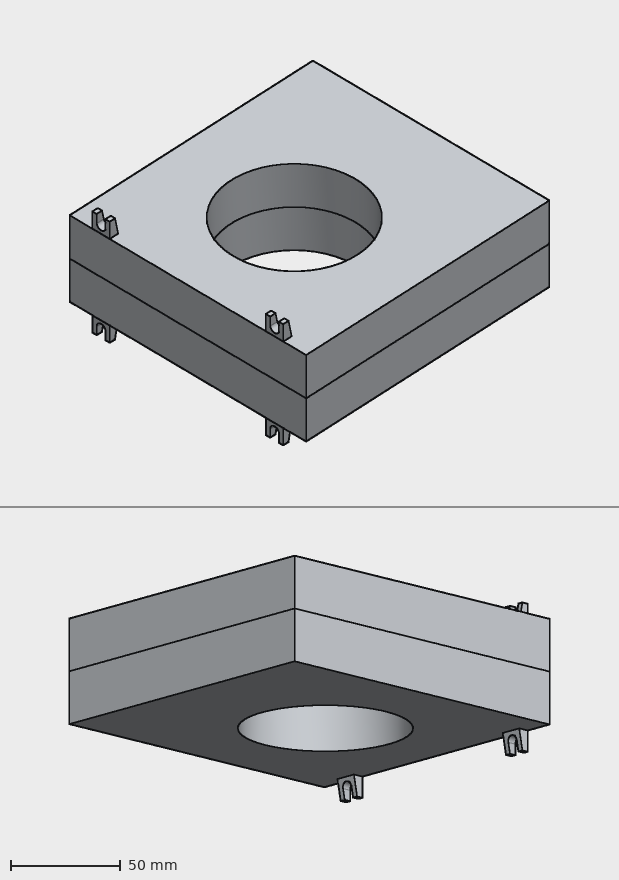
import cadquery as cq

housing_width = 150.0
housing_depth = 160.0
half_height = 25.0
bore_diameter = 80.0
bore_center_y = 70.0

lug_height = 10.0
lug_width = 11.0
lug_root_thickness = 5.5
lug_tip_thickness = 3.5
lug_spacing = 110.0
slot_width = 5.5
slot_depth = 8.0


def housing_half(bottom_z):
    """Rectangular block with the vertical bore, standing on bottom_z."""
    block = cq.Workplane("XY").box(
        housing_width, housing_depth, half_height, centered=(True, False, False)
    )
    bore = cq.Workplane("XY").center(0, bore_center_y).circle(bore_diameter / 2).extrude(half_height)
    return block.cut(bore).translate((0, 0, bottom_z))


def upper_lug(center_x):
    """Lug on the upper face, tapering at the back, with a round-bottomed slot open at its tip."""
    tapered_plate = (
        cq.Workplane("YZ")
        .polyline([(0, 0), (lug_root_thickness, 0), (lug_tip_thickness, lug_height), (0, lug_height)])
        .close()
        .extrude(lug_width / 2, both=True)
    )
    slot_radius = slot_width / 2
    slot_floor_z = lug_height - slot_depth
    slot_arc_center_z = slot_floor_z + slot_radius
    slot = (
        cq.Workplane("XZ")
        .moveTo(-slot_radius, lug_height)
        .lineTo(-slot_radius, slot_arc_center_z)
        .threePointArc((0, slot_floor_z), (slot_radius, slot_arc_center_z))
        .lineTo(slot_radius, lug_height)
        .close()
        .extrude(-lug_root_thickness)
    )
    return tapered_plate.cut(slot).translate((center_x, 0, half_height))


upper_half = housing_half(0)
lower_half = housing_half(-half_height)

lugs = []
for center_x in (-lug_spacing / 2, lug_spacing / 2):
    lug = upper_lug(center_x)
    lugs.append(lug.val())
    lugs.append(lug.mirror("XY").val())

result = cq.Compound.makeCompound([upper_half.val(), lower_half.val(), *lugs])